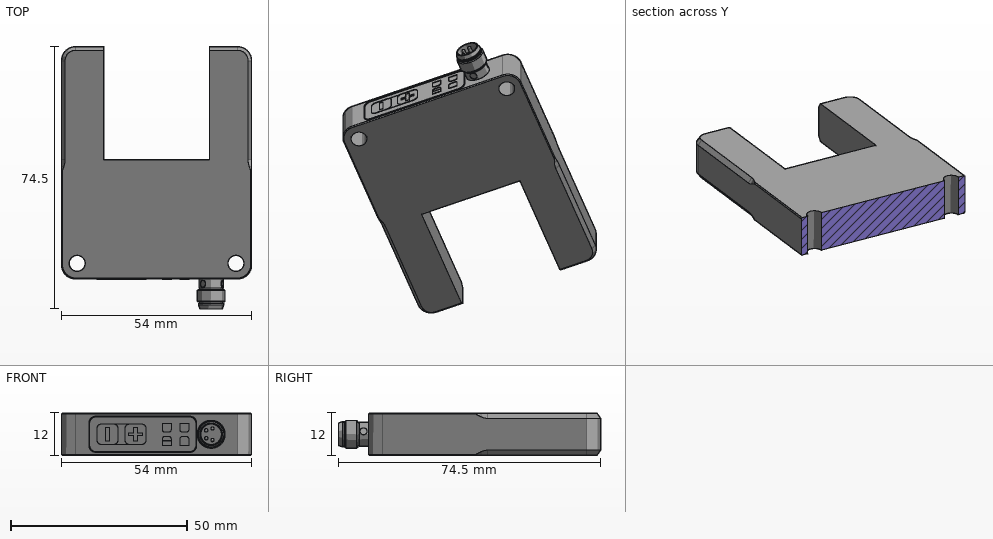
import cadquery as cq
import math

WIDTH = 54.0
TOTAL_LENGTH = 74.5
THICKNESS = 12.0
CONNECTOR_LENGTH = 8.5
BODY_LENGTH = TOTAL_LENGTH - CONNECTOR_LENGTH
CORNER_RADIUS = 4.0
EDGE_CHAMFER = 0.3

OVERLAP = 0.75

GAP_WIDTH = 29.95
GAP_DEPTH = 32.1
GAP_FLOOR_Y = BODY_LENGTH - GAP_DEPTH

PRONG_CHAMFER_INSET = 1.05
PRONG_CHAMFER_HEIGHT = 1.5
PRONG_CHAMFER_DEPTH = (
    PRONG_CHAMFER_INSET * PRONG_CHAMFER_HEIGHT / math.hypot(PRONG_CHAMFER_INSET, PRONG_CHAMFER_HEIGHT)
)
RUNOUT_ARC_LENGTH = 1.9
RUNOUT_LENGTH = 3.9

HOLE_DIAMETER = 4.5
HOLE_EDGE_DISTANCE = 4.5

PANEL_LEFT = -19.2
PANEL_RIGHT = 11.4
PANEL_HEIGHT = 10.3
PANEL_RADIUS = 2.0
GROOVE_WIDTH = 0.2
GROOVE_DEPTH = 0.15

BUTTON_WIDTH = 6.0
BUTTON_HEIGHT = 5.8
BUTTON_RADIUS = 1.35
MINUS_X = -13.9
PLUS_X = -5.95
PAD_RISE = 0.1
RAISED_RISE = 0.15
ENGRAVING_DEPTH = 0.1
SYMBOL_HEIGHT = 3.8
SYMBOL_BAR = 1.05
PLUS_WIDTH = 4.0
PLUS_ARM = 0.8

LAMP_SIZE = 2.5
LAMP_RADIUS = 0.75
LAMP_COLUMNS = (2.9, 7.9)
LAMP_ROW_Z = 1.85
LAMP_SPLIT_WIDTH = 0.1

CONNECTOR_X = 15.5
STEM_DIAMETER = 6.9
NECK_DIAMETER = 6.6
NUT_DIAMETER = 8.0
RING_DIAMETER = 7.2
TIP_DIAMETER = 6.4
STEM_END = 2.5
NUT_START = 3.0
NUT_END = 6.55
NUT_CHAMFER = 0.3
RING_START = 6.9
RING_END = 7.4
SOCKET_DIAMETER = 5.8
SOCKET_DEPTH = 4.5

PIN_DIAMETER = 1.0
PIN_LENGTH = 4.2
PIN_POINTS = ((-1.4, 1.1), (-1.4, -1.1), (0.4, 1.65), (0.4, -1.65))

MARK_DIAMETER = 2.0
MARK_FLOOR_RADIUS = 3.2
MARK_DISTANCE = 1.35
MARK_ANGLES = (15, 135, 255)


def plate():
    """Full rectangular housing blank with rounded vertical corners."""
    return (
        cq.Workplane("XY")
        .box(WIDTH, BODY_LENGTH, THICKNESS)
        .translate((0, BODY_LENGTH / 2, 0))
        .edges("|Z")
        .fillet(CORNER_RADIUS)
    )


def slab(y_start, y_end):
    """Block wider and taller than the housing, spanning a range of Y."""
    return (
        cq.Workplane("XY")
        .box(2 * WIDTH, y_end - y_start, 2 * THICKNESS)
        .translate((0, (y_start + y_end) / 2, 0))
    )


def front_block(x, z, width, height, y_back, y_front):
    """Rectangular block centred at (x, z), reaching from y_back forwards to y_front."""
    return cq.Workplane("XY").box(width, y_back - y_front, height).translate((x, (y_back + y_front) / 2, z))


def runout_cutter(side, face):
    """Cutter that ends the prong chamfer on one long edge with an arc and a straight ramp."""
    along = cq.Vector(0, -1, 0)
    across = cq.Vector(-face * PRONG_CHAMFER_INSET, 0, side * PRONG_CHAMFER_HEIGHT)
    edge_start = cq.Vector(side * WIDTH / 2, GAP_FLOOR_Y, face * (THICKNESS / 2 - PRONG_CHAMFER_HEIGHT))
    plane = cq.Plane(origin=edge_start, xDir=along, normal=across)

    ramp_slope = PRONG_CHAMFER_DEPTH / (RUNOUT_LENGTH - RUNOUT_ARC_LENGTH / 2)
    ramp_angle = math.atan(ramp_slope)
    arc_radius = RUNOUT_ARC_LENGTH / math.sin(ramp_angle)
    arc_middle = (arc_radius * math.sin(ramp_angle / 2), arc_radius * (1 - math.cos(ramp_angle / 2)))
    arc_end = (RUNOUT_ARC_LENGTH, arc_radius * (1 - math.cos(ramp_angle)))
    ramp_end_x = 2 * RUNOUT_LENGTH
    ramp_end = (ramp_end_x, arc_end[1] + ramp_slope * (ramp_end_x - RUNOUT_ARC_LENGTH))
    return (
        cq.Workplane(plane)
        .moveTo(0, 0)
        .threePointArc(arc_middle, arc_end)
        .lineTo(*ramp_end)
        .lineTo(0, ramp_end[1])
        .close()
        .extrude(THICKNESS / 2, both=True)
    )


def housing():
    """Plate with the gap, a narrow edge chamfer in front and a broad one around the prongs."""
    front = plate().faces("|Z").edges().chamfer(EDGE_CHAMFER)
    front = front.intersect(slab(-OVERLAP, GAP_FLOOR_Y))
    for side in (-1, 1):
        for face in (-1, 1):
            front = front.cut(runout_cutter(side, face))
    prongs = plate().faces("|Z").edges().chamfer(PRONG_CHAMFER_HEIGHT, PRONG_CHAMFER_INSET)
    prongs = prongs.intersect(slab(GAP_FLOOR_Y, BODY_LENGTH + OVERLAP))
    gap = cq.Workplane("XY").box(GAP_WIDTH, GAP_DEPTH, 2 * THICKNESS)
    gap = gap.translate((0, BODY_LENGTH - GAP_DEPTH / 2, 0))
    hole_x = WIDTH / 2 - HOLE_EDGE_DISTANCE
    holes = (
        cq.Workplane("XY")
        .pushPoints([(-hole_x, HOLE_EDGE_DISTANCE), (hole_x, HOLE_EDGE_DISTANCE)])
        .circle(HOLE_DIAMETER / 2)
        .extrude(THICKNESS, both=True)
    )
    return front.union(prongs).cut(gap).cut(holes)


def panel_groove():
    """Closed groove around the control panel."""
    panel_width = PANEL_RIGHT - PANEL_LEFT
    panel_x = (PANEL_LEFT + PANEL_RIGHT) / 2
    outer = front_block(panel_x, 0, panel_width, PANEL_HEIGHT, GROOVE_DEPTH, 0)
    inner = front_block(
        panel_x, 0, panel_width - 2 * GROOVE_WIDTH, PANEL_HEIGHT - 2 * GROOVE_WIDTH, GROOVE_DEPTH, 0
    )
    outer = outer.edges("|Y").fillet(PANEL_RADIUS)
    inner = inner.edges("|Y").fillet(PANEL_RADIUS - GROOVE_WIDTH)
    return outer.cut(inner)


def buttons():
    """Two raised push buttons on a lower pad, with an engraved minus and plus."""
    pad_width = PLUS_X - MINUS_X + BUTTON_WIDTH
    keys = front_block((MINUS_X + PLUS_X) / 2, 0, pad_width, BUTTON_HEIGHT, OVERLAP, -PAD_RISE)
    keys = keys.edges("|Y").fillet(BUTTON_RADIUS)
    for x in (MINUS_X, PLUS_X):
        key = front_block(x, 0, BUTTON_WIDTH, BUTTON_HEIGHT, OVERLAP, -RAISED_RISE)
        keys = keys.union(key.edges("|Y").fillet(BUTTON_RADIUS))
    symbol_floor = ENGRAVING_DEPTH - RAISED_RISE
    for x, width, height in (
        (MINUS_X, SYMBOL_BAR, SYMBOL_HEIGHT),
        (PLUS_X, SYMBOL_BAR, SYMBOL_HEIGHT),
        (PLUS_X, PLUS_WIDTH, PLUS_ARM),
    ):
        keys = keys.cut(front_block(x, 0, width, height, symbol_floor, -RAISED_RISE))
    return keys


def lamp(x, row):
    """Raised square lamp, rounded at the two corners facing the other row."""
    block = front_block(x, row * LAMP_ROW_Z, LAMP_SIZE, LAMP_SIZE, OVERLAP, -RAISED_RISE)
    inner_side = "<Z" if row > 0 else ">Z"
    return block.faces(inner_side).edges("|Y").fillet(LAMP_RADIUS)


def lamps():
    """Four lamps; the lower left one is split in two by a fine groove."""
    group = cq.Workplane("XY")
    for x in LAMP_COLUMNS:
        for row in (-1, 1):
            group = group.add(lamp(x, row))
    split = front_block(
        LAMP_COLUMNS[0], -LAMP_ROW_Z, LAMP_SIZE, LAMP_SPLIT_WIDTH, ENGRAVING_DEPTH - RAISED_RISE, -RAISED_RISE
    )
    return group.combine().cut(split)


def connector():
    """Turned connector body with socket, pins and sunken marks, pointing towards -Y."""
    stem, neck, nut = STEM_DIAMETER / 2, NECK_DIAMETER / 2, NUT_DIAMETER / 2
    ring, tip = RING_DIAMETER / 2, TIP_DIAMETER / 2
    profile = [
        (0, OVERLAP),
        (stem, OVERLAP),
        (stem, -STEM_END),
        (neck, -STEM_END),
        (neck, -NUT_START),
        (nut - NUT_CHAMFER, -NUT_START),
        (nut, -NUT_START - NUT_CHAMFER),
        (nut, -NUT_END + NUT_CHAMFER),
        (nut - NUT_CHAMFER, -NUT_END),
        (neck, -NUT_END),
        (neck, -RING_START),
        (ring, -RING_START),
        (ring, -RING_END),
        (tip, -CONNECTOR_LENGTH),
        (0, -CONNECTOR_LENGTH),
    ]
    body = cq.Workplane("XY").polyline(profile).close().revolve(360, (0, 0), (0, 1))

    socket_floor = SOCKET_DEPTH - CONNECTOR_LENGTH
    socket = (
        cq.Workplane("XZ", origin=(0, socket_floor, 0)).circle(SOCKET_DIAMETER / 2).extrude(SOCKET_DEPTH)
    )
    body = body.cut(socket)

    for x, z in PIN_POINTS:
        shank_length = PIN_LENGTH - PIN_DIAMETER / 2
        shank = (
            cq.Workplane("XZ", origin=(x, socket_floor + PIN_DIAMETER / 2, z))
            .circle(PIN_DIAMETER / 2)
            .extrude(shank_length + PIN_DIAMETER / 2)
        )
        dome = cq.Workplane("XY").sphere(PIN_DIAMETER / 2).translate((x, socket_floor - shank_length, z))
        body = body.union(shank).union(dome)

    mark = (
        cq.Workplane("YZ", origin=(MARK_FLOOR_RADIUS, -MARK_DISTANCE, 0))
        .circle(MARK_DIAMETER / 2)
        .extrude(stem)
    )
    for angle in MARK_ANGLES:
        body = body.cut(mark.rotate((0, 0, 0), (0, 1, 0), -angle))
    return body.translate((CONNECTOR_X, 0, 0))


result = housing().cut(panel_groove()).union(buttons()).union(lamps()).union(connector())